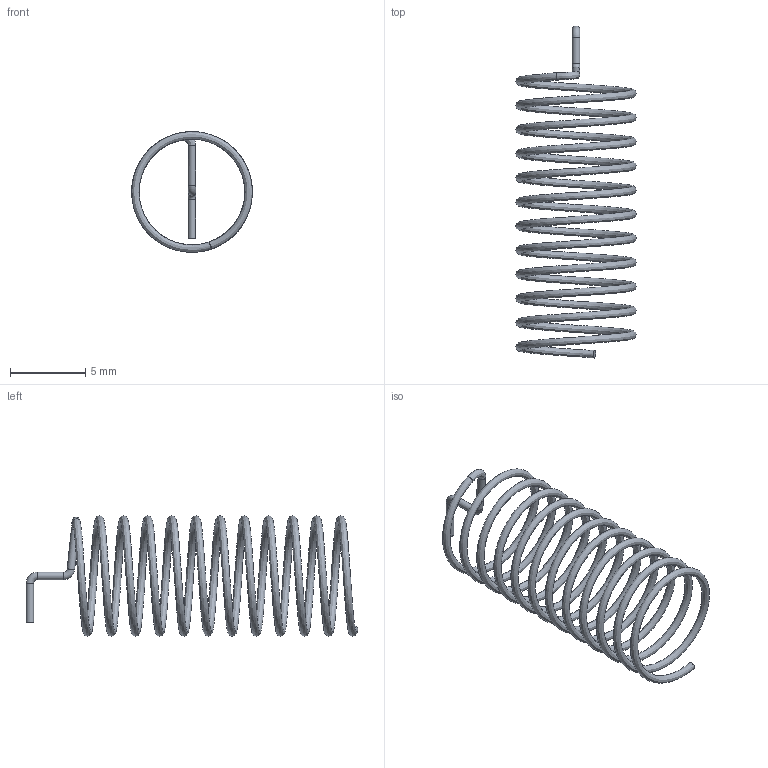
import cadquery as cq
import math

wire_radius = 0.25
coil_radius = 3.75
coil_pitch = 1.6
coil_turns = 11.5
coil_length = coil_pitch * coil_turns
start_angle = -71.0

bend_radius = 0.5
coil_exit_reach = 0.85
drop_entry_reach = 0.45
drop_top_z = 3.08
drop_top_offset = 0.1
drop_lean = 6.0
hook_offset = 3.1
hook_end_z = -3.08


def coil():
    """Wire wound right-handed along +Y, starting at start_angle."""
    helix = cq.Wire.makeHelix(coil_pitch, coil_length, coil_radius)
    path = cq.Workplane(obj=helix)
    profile_plane = cq.Plane(
        origin=(coil_radius, 0, 0),
        xDir=(1, 0, 0),
        normal=(0, 2 * math.pi * coil_radius, coil_pitch),
    )
    wound = cq.Workplane(profile_plane).circle(wire_radius).sweep(path, isFrenet=True)
    along_y = wound.rotate((0, 0, 0), (1, 0, 0), -90)
    return along_y.rotate((0, 0, 0), (0, 1, 0), -start_angle)


def bend(corner, incoming, outgoing):
    """Rounded corner between two unit directions, as an arc."""
    turn = incoming.getAngle(outgoing)
    setback = bend_radius * math.tan(turn / 2)
    inward = (outgoing - incoming).normalized()
    corner_gap = bend_radius * (1 / math.cos(turn / 2) - 1)
    first = corner - incoming * setback
    last = corner + outgoing * setback
    return cq.Edge.makeThreePointArc(first, corner + inward * corner_gap, last)


def tail():
    """Wire from the coil end down to the axis, out along Y and down again."""
    end_angle = math.radians(start_angle - 360 * coil_turns)
    coil_end = cq.Vector(
        coil_radius * math.cos(end_angle), coil_length, coil_radius * math.sin(end_angle)
    )
    circumference = 2 * math.pi * coil_radius
    coil_direction = cq.Vector(
        circumference * math.sin(end_angle), coil_pitch, -circumference * math.cos(end_angle)
    ).normalized()

    lean = math.radians(drop_lean)
    drop_direction = cq.Vector(0, math.sin(lean), -math.cos(lean))
    outward = cq.Vector(0, 1, 0)
    down = cq.Vector(0, 0, -1)

    drop_top = cq.Vector(0, coil_length + drop_top_offset, drop_top_z)
    axis_corner = drop_top + drop_direction * (drop_top_z / math.cos(lean))
    hook_corner = cq.Vector(0, coil_length + hook_offset, 0)
    hook_end = cq.Vector(0, hook_corner.y, hook_end_z)

    exit_bend = cq.Edge.makeBezier([
        coil_end,
        coil_end + coil_direction * coil_exit_reach,
        drop_top - drop_direction * drop_entry_reach,
        drop_top,
    ])
    axis_bend = bend(axis_corner, drop_direction, outward)
    hook_bend = bend(hook_corner, outward, down)
    path = cq.Wire.assembleEdges([
        exit_bend,
        cq.Edge.makeLine(drop_top, axis_bend.startPoint()),
        axis_bend,
        cq.Edge.makeLine(axis_bend.endPoint(), hook_bend.startPoint()),
        hook_bend,
        cq.Edge.makeLine(hook_bend.endPoint(), hook_end),
    ])
    profile_plane = cq.Plane(origin=coil_end, xDir=(coil_end.x, 0, coil_end.z), normal=coil_direction)
    return cq.Workplane(profile_plane).circle(wire_radius).sweep(cq.Workplane(obj=path))


result = coil().union(tail())